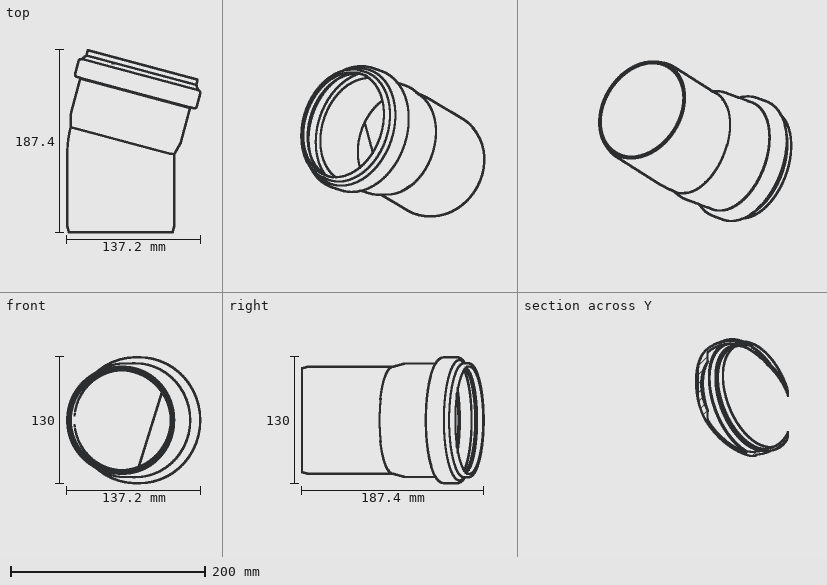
import cadquery as cq
import math

bend_angle = 15.0
spigot_diameter = 110.3
spigot_bore = 102.9
spigot_length = 80.6
spigot_chamfer_length = 6.0
spigot_chamfer_angle = 15.0
bend_clearance = 0.2

collar_step = 0.1
socket_wall = 3.3
socket_diameter = 117.4
ring_diameter = 130.0
lip_diameter = 117.5
ring_fillet = 3.0
lip_edge_radius = 0.8
neck_seat_radius = 57.0

collar_start = -1.0
cone_start = -0.5
cone_end = 12.7
sleeve_start = 49.8
ring_start = 50.5
ring_end = 69.8
lip_bore_start = 73.6
lip_start = 74.5
lip_end = 80.23

spigot_radius = spigot_diameter / 2
bore_radius = spigot_bore / 2
collar_radius = spigot_radius + collar_step
socket_radius = socket_diameter / 2
ring_radius = ring_diameter / 2
lip_radius = lip_diameter / 2
pivot_x = spigot_radius + bend_clearance
chamfer_depth = spigot_chamfer_length * math.tan(math.radians(spigot_chamfer_angle))
groove_start = ring_start + socket_wall
groove_end = ring_end - socket_wall
neck_slope = (ring_radius - ring_fillet - lip_radius) / (lip_start - ring_end)
neck_wall = socket_wall * math.hypot(1, neck_slope)
groove_neck_radius = ring_radius - ring_fillet + neck_slope * (ring_end - groove_end) - neck_wall
neck_seat_start = groove_end + (groove_neck_radius - neck_seat_radius) / neck_slope


def revolve_about_axis(profile):
    """Turn a closed (radius, height) profile about the local Y axis."""
    return profile.close().revolve(360, (0, 0, 0), (0, 1, 0))


def tube_bend(radius):
    """Solid elbow that starts at the spigot end plane and turns toward +X."""
    start_plane = cq.Workplane("XZ").circle(radius)
    return start_plane.revolve(bend_angle, (pivot_x, 1, 0), (pivot_x, -1, 0))


def at_bend_end(body):
    """Move a body built on the spigot axis to the end plane of the bend."""
    return body.rotate((pivot_x, 0, 0), (pivot_x, 0, 1), -bend_angle)


def spigot_outside():
    profile = (
        cq.Workplane("XY")
        .moveTo(0, -spigot_length)
        .lineTo(spigot_radius - chamfer_depth, -spigot_length)
        .lineTo(spigot_radius, spigot_chamfer_length - spigot_length)
        .lineTo(spigot_radius, 0)
        .lineTo(0, 0)
    )
    return revolve_about_axis(profile)


def spigot_inside():
    return cq.Workplane("XZ").circle(bore_radius).extrude(spigot_length)


def socket_outside():
    ring_shoulder = ring_radius - ring_fillet
    profile = (
        cq.Workplane("XY")
        .moveTo(0, collar_start)
        .lineTo(collar_radius, collar_start)
        .lineTo(collar_radius, cone_start)
        .lineTo(socket_radius, cone_end)
        .lineTo(socket_radius, sleeve_start)
        .lineTo(lip_radius, sleeve_start)
        .lineTo(lip_radius, ring_start)
        .lineTo(ring_shoulder, ring_start)
        .radiusArc((ring_radius, ring_start + ring_fillet), -ring_fillet)
        .lineTo(ring_radius, ring_end - ring_fillet)
        .radiusArc((ring_shoulder, ring_end), -ring_fillet)
        .lineTo(lip_radius, lip_start)
        .lineTo(lip_radius, lip_end - lip_edge_radius)
        .radiusArc((lip_radius - lip_edge_radius, lip_end), -lip_edge_radius)
        .lineTo(0, lip_end)
    )
    return revolve_about_axis(profile)


def socket_inside():
    socket_bore_radius = socket_radius - socket_wall
    groove_radius = ring_radius - socket_wall
    lip_bore_radius = lip_radius - socket_wall
    profile = (
        cq.Workplane("XY")
        .moveTo(0, 0)
        .lineTo(bore_radius, 0)
        .lineTo(socket_bore_radius, cone_end)
        .lineTo(socket_bore_radius, groove_start)
        .lineTo(groove_radius, groove_start)
        .lineTo(groove_radius, groove_end)
        .lineTo(groove_neck_radius, groove_end)
        .lineTo(neck_seat_radius, neck_seat_start)
        .lineTo(neck_seat_radius, lip_bore_start)
        .lineTo(lip_bore_radius, lip_bore_start)
        .lineTo(lip_bore_radius, lip_end)
        .lineTo(0, lip_end)
    )
    return revolve_about_axis(profile)


outside = spigot_outside().union(tube_bend(spigot_radius)).union(at_bend_end(socket_outside()))

result = outside.cut(spigot_inside()).cut(tube_bend(bore_radius)).cut(at_bend_end(socket_inside()))